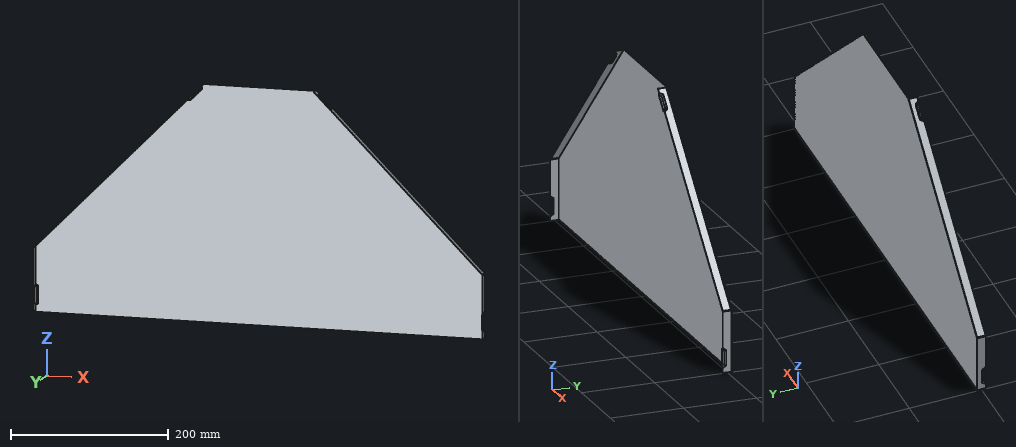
import cadquery as cq
import math

WIDTH = 600.0
HEIGHT = 309.71
SHOULDER = 84.0
DIAGONAL_ANGLE = 45.0
SIDE_ANGLE = 90.0
SHEET = 1.0

FLANGE_DEPTH = 12.5
TOP_GAP = 1.0
SHOULDER_GAP = 0.7

DIMPLE_LENGTH = 25.5
DIMPLE_REACH = 4.5
DIMPLE_END_ANGLE = 30.0
DIMPLE_CORNER_RADIUS = 2.0
DIMPLE_DEPTH = 3.0
DIMPLE_DRAFT = 30.0
DIMPLE_CENTRE = 20.0

half_width = WIDTH / 2
diagonal_rise = HEIGHT - SHOULDER
half_top = half_width - diagonal_rise / math.tan(math.radians(DIAGONAL_ANGLE))
diagonal_length = diagonal_rise / math.sin(math.radians(DIAGONAL_ANGLE))


def half_plate():
    """Right half of the flat sheet."""
    outline = [
        (0, 0),
        (half_width, 0),
        (half_width, SHOULDER),
        (half_top, HEIGHT),
        (0, HEIGHT),
    ]
    return cq.Workplane("XZ").polyline(outline).close().extrude(SHEET)


def dimple_block(centre, margin, depth):
    """Tapered block shaped like the dimple, grown by `margin`, ending at the free edge."""
    lean = math.tan(math.radians(DIMPLE_END_ANGLE))
    half_free = DIMPLE_LENGTH / 2
    half_root = half_free - DIMPLE_REACH * lean
    half_below = half_free + DIMPLE_REACH * lean
    outline = [
        (-half_root, DIMPLE_REACH),
        (half_root, DIMPLE_REACH),
        (half_below, -DIMPLE_REACH),
        (-half_below, -DIMPLE_REACH),
    ]
    block = (
        cq.Workplane("XZ", origin=(centre, 0, -FLANGE_DEPTH))
        .polyline(outline)
        .close()
        .offset2D(-DIMPLE_CORNER_RADIUS)
        .offset2D(DIMPLE_CORNER_RADIUS + margin)
        .extrude(-depth, taper=DIMPLE_DRAFT)
    )
    above_free_edge = (
        cq.Workplane("XY", origin=(centre, 0, -FLANGE_DEPTH))
        .rect(2 * DIMPLE_LENGTH, 4 * depth)
        .extrude(FLANGE_DEPTH)
    )
    return block.intersect(above_free_edge)


def flange(start, end, dimple_centre):
    """Strip along local X with its dimple; local Y points inward, local Z to the back."""
    strip = (
        cq.Workplane("XY", origin=(start, 0, -FLANGE_DEPTH))
        .rect(end - start, SHEET, centered=False)
        .extrude(FLANGE_DEPTH)
    )
    wall_margin = SHEET / math.cos(math.radians(DIMPLE_DRAFT))
    bulge = dimple_block(dimple_centre, wall_margin, DIMPLE_DEPTH + SHEET)
    recess = dimple_block(dimple_centre, 0, DIMPLE_DEPTH)
    return strip.union(bulge).cut(recess)


def hang(strip, start_x, start_z, fall_angle):
    """Place a flange on the panel edge that starts at a corner and falls to the right."""
    upright = strip.rotate((0, 0, 0), (1, 0, 0), -90)
    return upright.rotate((0, 0, 0), (0, 1, 0), fall_angle).translate((start_x, 0, start_z))


diagonal_strip = flange(TOP_GAP, diagonal_length - SHOULDER_GAP, DIMPLE_CENTRE)
diagonal_flange = hang(diagonal_strip, half_top, HEIGHT, DIAGONAL_ANGLE)

side_strip = flange(SHOULDER_GAP, SHOULDER, SHOULDER - DIMPLE_CENTRE)
side_flange = hang(side_strip, half_width, SHOULDER, SIDE_ANGLE)

half_panel = half_plate().union(diagonal_flange).union(side_flange)
result = half_panel.union(half_panel.mirror("YZ"))